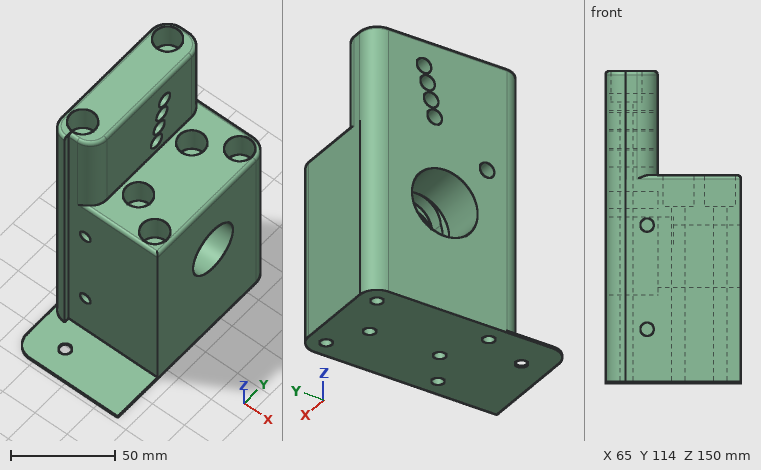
import cadquery as cq

height = 150.0
width = 65.0
depth = 114.0
body_depth = 84.0
post_depth = 87.0
column_width = 25.0
block_height = 100.0
foot_thickness = 1.0
post_width = 9.6
corner_radius = 10.0
post_radius = 9.3
edge_radius = 2.0

screw_diameter = 6.5
screw_head_diameter = 15.0
screw_head_depth = 15.0
middle_screw_x = 35.0
middle_screw_spacing = 40.0
foot_hole_x = 20.0
foot_hole_y = 15.0

bore_entry_depth = column_width
bore_from_back = 42.3
bore_z = 61.2
bore_diameter = 30.0
bore_entry_diameter = 37.5
bore_relief_diameter = 27.9
bore_relief_depth = 7.5

port_diameter = 8.2
port_count = 4
first_port_from_back = 30.5
first_port_z = 135.0
port_step_y = 2.02
port_step_z = 9.0
blind_port_from_back = 66.5
blind_port_z = 88.0
blind_port_depth = column_width

side_hole_x = 20.0
side_hole_z = (26.1, 76.0)
side_hole_depth = 10.0

back_y = depth
body_front_y = back_y - body_depth
post_front_y = back_y - post_depth
middle_y = back_y - body_depth / 2
hole_inset = corner_radius


def box(x_min, x_max, y_min, y_max, z_top):
    """Upright block standing on Z = 0."""
    return cq.Workplane("XY").box(
        x_max - x_min, y_max - y_min, z_top, centered=False
    ).translate((x_min, y_min, 0))


def drill_from_left(diameter, y, z, length, start_x=0):
    """Round cutter running along +X."""
    return cq.Workplane("YZ", origin=(start_x, y, z)).circle(diameter / 2).extrude(length)


def screw_cutter(x, y, top_z):
    """Through hole with a counterbore for the screw head."""
    shank = cq.Workplane("XY").center(x, y).circle(screw_diameter / 2).extrude(top_z)
    head = (
        cq.Workplane("XY", origin=(x, y, top_z - screw_head_depth))
        .circle(screw_head_diameter / 2)
        .extrude(screw_head_depth)
    )
    return shank.union(head)


block = box(post_width, width, body_front_y, back_y, block_height)
block = block.edges("|Z and >X and >Y").fillet(corner_radius)
block = block.faces(">Z").edges("not <X").fillet(edge_radius)

column = box(0, column_width, body_front_y, back_y, height)
column = column.edges("|Z").fillet(corner_radius)
column = column.faces(">Z").edges().fillet(edge_radius)

post = box(0, post_width, post_front_y, middle_y, height)
post = post.edges("|Z and <X and <Y").fillet(post_radius)
post = post.faces(">Z").edges("not (>X or >Y)").fillet(edge_radius)

foot = box(0, width, 0, back_y - corner_radius, foot_thickness)
foot = foot.edges("|Z and <X and <Y").fillet(corner_radius)

result = post.union(column).union(block).union(foot)

left_x = hole_inset
right_x = width - hole_inset
for y in (back_y - hole_inset, body_front_y + hole_inset):
    result = result.cut(screw_cutter(left_x, y, height))
    result = result.cut(screw_cutter(right_x, y, block_height))
for side in (-1, 1):
    y = middle_y + side * middle_screw_spacing / 2
    result = result.cut(screw_cutter(middle_screw_x, y, block_height))
foot_hole = (
    cq.Workplane("XY")
    .center(foot_hole_x, foot_hole_y)
    .circle(screw_diameter / 2)
    .extrude(foot_thickness)
)
result = result.cut(foot_hole)

bore_y = back_y - bore_from_back
relief_z = bore_z + (bore_entry_diameter - bore_relief_diameter) / 2
result = result.cut(drill_from_left(bore_diameter, bore_y, bore_z, width))
result = result.cut(drill_from_left(bore_entry_diameter, bore_y, bore_z, bore_entry_depth))
result = result.cut(
    drill_from_left(bore_relief_diameter, bore_y, relief_z, bore_relief_depth, bore_entry_depth)
)

for i in range(port_count):
    y = back_y - first_port_from_back - i * port_step_y
    z = first_port_z - i * port_step_z
    result = result.cut(drill_from_left(port_diameter, y, z, column_width))
result = result.cut(
    drill_from_left(port_diameter, back_y - blind_port_from_back, blind_port_z, blind_port_depth)
)

for z in side_hole_z:
    side_hole = (
        cq.Workplane("XZ", origin=(side_hole_x, body_front_y, z))
        .circle(screw_diameter / 2)
        .extrude(-side_hole_depth)
    )
    result = result.cut(side_hole)

result = cq.Workplane("XY").newObject([result.solids().val()])